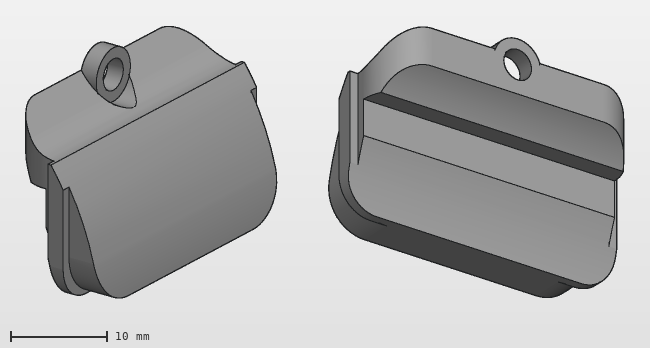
import math
import cadquery as cq

length = 34.05
depth = 11.92
height = 21.65

body_length = 32.0
corner_radius = 5.05
back_x = 5.05

lip_bottom_z = 15.25
lip_underside_mid = (1.5, 13.75)
step_x = 2.75
step_z = 12.0
back_bottom_z = 7.75
skirt_inner_mid = (6.2, 4.3)
skirt_inner_x = 6.9
skirt_outer_mid = (10.25, 8.07)
ridge_x = 6.45
ridge_z = 15.35
valley_radius = 5.2
slope_angle = math.radians(45)

tab_back_x = 6.05
tab_front_x = 8.0
tab_corner_radius = 4.0

eyelet_radius = 3.0
eyelet_thickness = 2.05
hole_diameter = 3.5
eyelet_z = height - eyelet_radius


def valley_point(angle):
    """Point on the concave top, measured back from its low point at the ridge."""
    return (
        ridge_x - valley_radius * math.sin(angle),
        ridge_z + valley_radius * (1 - math.cos(angle)),
    )


def make_profile():
    """Full cross-section, extruded symmetrically about the middle."""
    slope_end = valley_point(slope_angle)
    lip_top_z = slope_end[1] + slope_end[0] * math.tan(slope_angle)
    return (
        cq.Workplane("XZ")
        .moveTo(0, lip_bottom_z)
        .threePointArc(lip_underside_mid, (step_x, step_z))
        .lineTo(back_x, step_z)
        .lineTo(back_x, back_bottom_z)
        .threePointArc(skirt_inner_mid, (skirt_inner_x, 0))
        .lineTo(depth, 0)
        .threePointArc(skirt_outer_mid, (ridge_x, ridge_z))
        .threePointArc(valley_point(slope_angle / 2), slope_end)
        .lineTo(0, lip_top_z)
        .close()
        .extrude(length / 2, both=True)
    )


def make_block(start_x, end_x, width):
    """Centred block that reaches from the base to the full height."""
    return cq.Workplane("XY").box(
        end_x - start_x, width, height, centered=(False, True, False)
    ).translate((start_x, 0, 0))


def x_cylinder(radius, start_x, end_x):
    """Cylinder along X on the eyelet axis."""
    return (
        cq.Workplane("YZ", origin=(start_x, 0, eyelet_z))
        .circle(radius)
        .extrude(end_x - start_x)
    )


body_limits = (
    make_block(0, depth, body_length)
    .edges("|Z and <X").fillet(corner_radius)
    .edges("|X and <Z").fillet(corner_radius)
)
tab_limits = (
    make_block(tab_back_x, tab_front_x, length)
    .edges("|X and <Z").fillet(tab_corner_radius)
)

body = make_profile().intersect(body_limits.union(tab_limits))

eyelet = x_cylinder(eyelet_radius, 0, eyelet_thickness)
clearance = x_cylinder(eyelet_radius, eyelet_thickness, depth)
hole = x_cylinder(hole_diameter / 2, 0, eyelet_thickness)

result = body.cut(clearance).union(eyelet).cut(hole)